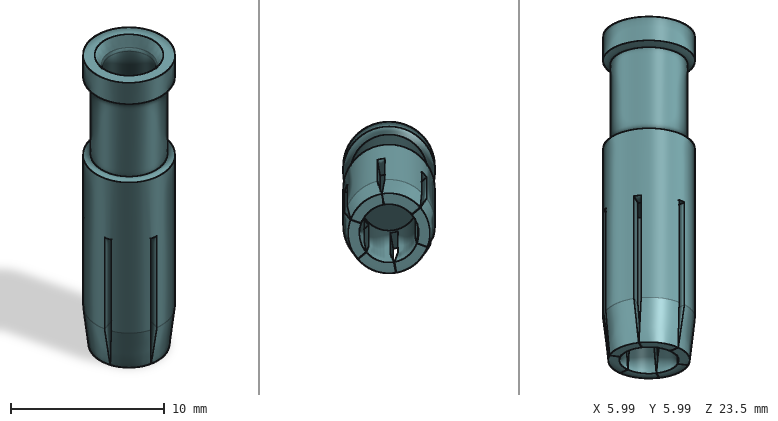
import cadquery as cq
import math

LENGTH = 23.5
BODY_RADIUS = 2.996

NECK_RADIUS = 2.51
TIP_RADIUS = 2.65
TAPER_TOP = 3.1
SHOULDER_BOTTOM = 15.37
NECK_BOTTOM = 15.49
NECK_TOP = 21.5
HEAD_BOTTOM = 21.75

WIRE_HOLE_RADIUS = 1.75
WIRE_HOLE_DEPTH = 8.0
WIRE_DRILL_ANGLE = 118.0
COUNTERSINK_RADIUS = 2.23
COUNTERSINK_HALF_ANGLE = 30.0
COUNTERSINK_ROUNDING = 0.5

SELECT_MARGIN = 0.02

SOCKET_RADIUS = 1.93
SOCKET_TOP = 11.28

SLOT_COUNT = 6
SLOT_WIDTH = 0.5
SLOT_TIP_WIDTH = 0.02
SLOT_TOP = 10.53


def revolve_profile(points):
    """Turn a closed (radius, height) outline around the Z axis."""
    return cq.Workplane("XZ").polyline(points).close().revolve(360, (0, 0), (0, 1))


def make_body():
    return revolve_profile([
        (0, 0),
        (TIP_RADIUS, 0),
        (BODY_RADIUS, TAPER_TOP),
        (BODY_RADIUS, SHOULDER_BOTTOM),
        (NECK_RADIUS, NECK_BOTTOM),
        (NECK_RADIUS, NECK_TOP),
        (BODY_RADIUS, HEAD_BOTTOM),
        (BODY_RADIUS, LENGTH),
        (0, LENGTH),
    ])


def make_wire_hole():
    """Blind hole with a conical drill point and a countersink that blends smoothly into its bore."""
    countersink_width = COUNTERSINK_RADIUS - WIRE_HOLE_RADIUS
    countersink_depth = countersink_width / math.tan(math.radians(COUNTERSINK_HALF_ANGLE))
    countersink_foot = LENGTH - countersink_depth
    floor = LENGTH - WIRE_HOLE_DEPTH
    point_depth = WIRE_HOLE_RADIUS / math.tan(math.radians(WIRE_DRILL_ANGLE / 2))
    hole = revolve_profile([
        (0, floor - point_depth),
        (WIRE_HOLE_RADIUS, floor),
        (WIRE_HOLE_RADIUS, countersink_foot),
        (COUNTERSINK_RADIUS, LENGTH),
        (0, LENGTH),
    ])
    foot_edge = cq.selectors.BoxSelector(
        (-BODY_RADIUS, -BODY_RADIUS, countersink_foot - SELECT_MARGIN),
        (BODY_RADIUS, BODY_RADIUS, countersink_foot + SELECT_MARGIN),
        boundingbox=True,
    )
    return hole.edges(foot_edge).fillet(COUNTERSINK_ROUNDING)


def make_socket():
    return cq.Workplane("XY").circle(SOCKET_RADIUS).extrude(SOCKET_TOP)


def make_slot(angle):
    """Radial slot towards +X, turned by angle, that closes up along the taper to the tips."""
    half_width = SLOT_WIDTH / 2
    half_tip = SLOT_TIP_WIDTH / 2
    slot = (
        cq.Workplane("YZ")
        .polyline([
            (-half_tip, 0),
            (half_tip, 0),
            (half_width, TAPER_TOP),
            (half_width, SLOT_TOP),
            (-half_width, SLOT_TOP),
            (-half_width, TAPER_TOP),
        ])
        .close()
        .extrude(BODY_RADIUS + SLOT_WIDTH)
    )
    return slot.rotate((0, 0, 0), (0, 0, 1), angle)


result = make_body().cut(make_wire_hole()).cut(make_socket())
for index in range(SLOT_COUNT):
    result = result.cut(make_slot(index * 360 / SLOT_COUNT))